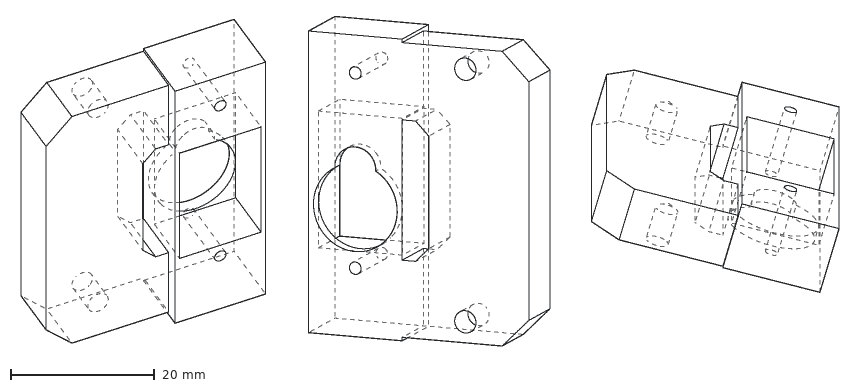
import cadquery as cq
import math

length_y = 33.0
block_height = 43.0
block_depth = 10.0
block_width = 14.0

plate_height = 42.0
plate_depth = 8.0
plate_chamfer = 4.0
block_front = length_y - block_width
block_center_y = length_y - block_width / 2

window_height = 20.0
window_width = 4.0
window_chamfer = 1.98

face_wall = 1.98
large_diameter = 12.5
large_z = -3.1
small_diameter = 6.1
small_z = 2.5
pocket_width = 12.6
pocket_height = 19.5

pin_diameter = 1.75
pin_spacing = 27.8
pin_center_z = 2.2

drill_diameter = 3.2
drill_depth = 5.0
drill_tip_angle = 118.0
drill_spacing = 36.0
drill_y = 9.5


def box(depth, y_min, y_max, height, x_min=0.0):
    """Box centred on Z = 0, spanning the given X and Y ranges."""
    return cq.Workplane("XY").box(
        depth, y_max - y_min, height, centered=(False, False, True)
    ).translate((x_min, y_min, 0))


def cylinder(diameter, depth, y, z):
    """Cylinder along +X starting at X = 0."""
    return cq.Workplane("YZ").center(y, z).circle(diameter / 2).extrude(depth)


def drilled_hole(y, z):
    """Round hole along +X with a conical drill tip."""
    radius = drill_diameter / 2
    tip_length = radius / math.tan(math.radians(drill_tip_angle / 2))
    profile = (
        cq.Workplane("XY")
        .polyline([(0, 0), (0, radius), (drill_depth, radius), (drill_depth + tip_length, 0)])
        .close()
    )
    return profile.revolve(360, (0, 0, 0), (1, 0, 0)).translate((0, y, z))


block = box(block_depth, block_front, length_y, block_height)

plate = box(plate_depth, 0, block_front, plate_height)
plate = plate.edges("|X and <Y").chamfer(plate_chamfer)

window = box(plate_depth, block_front - window_width, block_front, window_height)
window = window.edges("|X and <Y").chamfer(window_chamfer)

result = block.union(plate.cut(window))

result = result.cut(cylinder(large_diameter, face_wall, block_center_y, large_z))
result = result.cut(cylinder(small_diameter, face_wall, block_center_y, small_z))
pocket = box(
    block_depth - face_wall,
    block_center_y - pocket_width / 2,
    block_center_y + pocket_width / 2,
    pocket_height,
    face_wall,
)
result = result.cut(pocket)

for side in (-1, 1):
    pin_z = pin_center_z + side * pin_spacing / 2
    result = result.cut(cylinder(pin_diameter, block_depth, block_center_y, pin_z))
    result = result.cut(drilled_hole(drill_y, side * drill_spacing / 2))